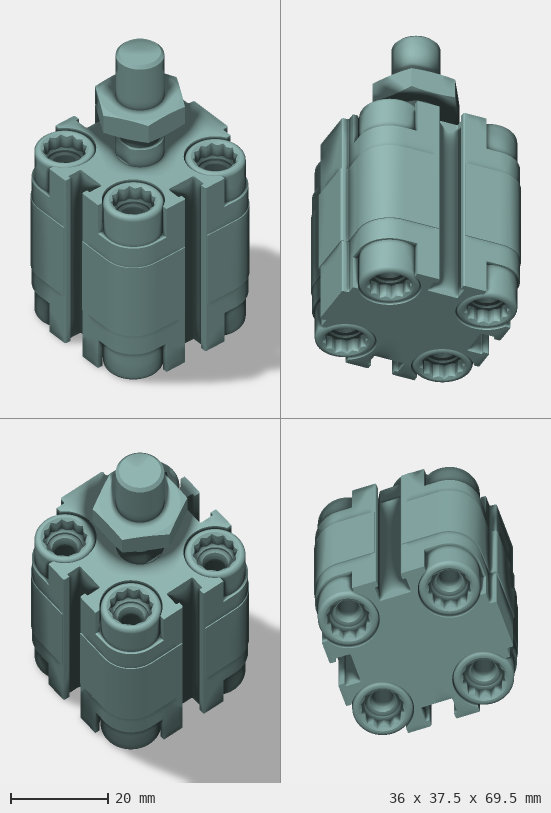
import cadquery as cq
import math

housing_height = 43.0
barrel_height = 18.0
pocket_depth = 7.5
overall_height = 69.5

barrel_width = 36.0
band_step = 0.2
rail_top = 19.5
rail_half = 5.8
rail_round = 0.55
rail_flare = 0.2
cap_rail_inset = 0.3
cap_rail_shift = 0.2

slot_mouth_half = 2.65
slot_inner_half = 3.4
slot_floor = 13.1
slot_lip = 1.6
slot_edge_round = 0.35
slot_inner_radius = 0.3

screw_offset = 11.0
head_diameter = 12.5
pocket_diameter = 13.0
pocket_wall = 7.8
head_fillet = 1.0
socket_mouth_diameter = 10.0
socket_flats = 8.1
socket_chamfer_depth = 0.6
socket_depth = 3.5
bore_diameter = 7.2
bore_depth = 4.0
hole_mouth_diameter = 5.3
hole_diameter = 4.1
hole_chamfer_depth = 1.4

rod_diameter = 10.0
rod_end = 47.55
rod_flats = 9.05
rod_flats_start = 43.2
neck_diameter = 8.5
neck_end = 49.5
thread_chamfer = 0.7
nut_flats = 17.0
nut_bottom = 52.9
nut_thickness = 5.15
nut_chamfer_diameter = 16.7
nut_chamfer_height = 0.35

barrel_bottom = (housing_height - barrel_height) / 2
barrel_half = barrel_width / 2
pocket_top = housing_height - pocket_depth
corners = [(sx * screw_offset, sy * screw_offset) for sx in (-1, 1) for sy in (-1, 1)]


def prism(outline, bottom, height):
    """Extrude an outline upward from the given height."""
    return outline.extrude(height).translate((0, 0, bottom))


def cylinder(diameter, bottom, height):
    return prism(cq.Workplane("XY").circle(diameter / 2), bottom, height)


def hexagon_prism(flats, height):
    """Hexagonal prism on the base plane with its flats facing -Y and +Y."""
    return cq.Workplane("XY").polygon(6, flats / math.cos(math.pi / 6)).extrude(height)


def half_pitch_turn(hexagon):
    """Turn a hexagon by half its pitch, so that its corners face -Y and +Y."""
    half_pitch = 360 / 6 / 2
    return hexagon.rotate((0, 0, 0), (0, 0, 1), half_pitch)


def rounded_block(half, bottom, height):
    """Square section with rounded corners concentric with the screws."""
    square = cq.Workplane("XY").rect(2 * half, 2 * half)
    return prism(square, bottom, height).edges("|Z").fillet(half - screw_offset)


def rear_rail(half_width, base_y, top_y, edge_round, bottom, height):
    """Rail on the rear face with rounded outer edges and a bevelled foot."""
    shoulder_y = top_y - edge_round
    outline = (
        cq.Workplane("XY")
        .moveTo(-half_width - rail_flare, 0)
        .lineTo(-half_width - rail_flare, base_y)
        .lineTo(-half_width, base_y + rail_flare)
        .lineTo(-half_width, shoulder_y)
        .tangentArcPoint((edge_round, edge_round))
        .lineTo(half_width - edge_round, top_y)
        .tangentArcPoint((edge_round, -edge_round))
        .lineTo(half_width, base_y + rail_flare)
        .lineTo(half_width + rail_flare, base_y)
        .lineTo(half_width + rail_flare, 0)
        .close()
    )
    return prism(outline, bottom, height)


def sensor_slot():
    """T-slot cutter that opens toward -Y and runs the full height."""
    lip_y = slot_lip - barrel_half
    depth = -slot_floor - lip_y
    groove = (
        cq.Workplane("XY")
        .center(0, lip_y + depth / 2)
        .rect(2 * slot_inner_half, depth)
        .extrude(housing_height)
        .edges("|Z")
        .fillet(slot_inner_radius)
    )
    cap_face = band_step - barrel_half
    inner_y = lip_y + depth / 2
    flared_half = slot_mouth_half + slot_edge_round
    mouth = (
        cq.Workplane("XY")
        .moveTo(-slot_mouth_half, inner_y)
        .lineTo(-slot_mouth_half, cap_face + slot_edge_round)
        .tangentArcPoint((-slot_edge_round, -slot_edge_round))
        .lineTo(-flared_half, -barrel_half)
        .lineTo(flared_half, -barrel_half)
        .lineTo(flared_half, cap_face)
        .radiusArc((slot_mouth_half, cap_face + slot_edge_round), slot_edge_round)
        .lineTo(slot_mouth_half, inner_y)
        .close()
        .extrude(housing_height)
    )
    return groove.union(mouth)


def corner_pocket(x, y):
    """Space around one upper screw head, open to both outer faces."""
    seat = cylinder(pocket_diameter, pocket_top, pocket_depth).translate((x, y, 0))
    reach = barrel_half
    middle = pocket_wall + reach / 2
    middle_x = math.copysign(middle, x)
    middle_y = math.copysign(middle, y)
    opening = cq.Workplane("XY").center(middle_x, middle_y).rect(reach, reach)
    return seat.union(prism(opening, pocket_top, pocket_depth))


def screw_head(x, y):
    """Rounded upper screw head, formed in one piece with the housing."""
    head = cylinder(head_diameter, pocket_top, pocket_depth).faces(">Z").edges().fillet(head_fillet)
    return head.translate((x, y, 0))


def screw_socket(x, y):
    """Twelve-point drive recess with a stepped bore, cut from the upper end."""
    top = housing_height
    mouth_r = socket_mouth_diameter / 2
    hexagon = hexagon_prism(socket_flats, socket_depth)
    star = hexagon.union(half_pitch_turn(hexagon)).translate((0, 0, top - socket_depth))
    half_profile = [
        (0, top),
        (mouth_r, top),
        (socket_flats / 2, top - socket_chamfer_depth),
        (bore_diameter / 2, top - socket_chamfer_depth),
        (bore_diameter / 2, top - bore_depth),
        (hole_mouth_diameter / 2, top - bore_depth),
        (hole_diameter / 2, top - bore_depth - hole_chamfer_depth),
        (hole_diameter / 2, housing_height / 2),
        (0, housing_height / 2),
    ]
    bore = cq.Workplane("XZ").polyline(half_profile).close().revolve(360, (0, 0, 0), (0, 1, 0))
    return star.union(bore).translate((x, y, 0))


def both_ends(shape):
    """The shape at the upper end and its mirror image at the lower end."""
    return shape, shape.mirror("XY", (0, 0, housing_height / 2))


def make_housing():
    """Cylinder housing: end caps, barrel, slots and the eight corner screws."""
    cap_half = barrel_half - band_step
    cap_rail = rear_rail(
        rail_half - cap_rail_inset, cap_half, rail_top - cap_rail_inset, rail_round - band_step,
        0, housing_height,
    ).translate((-cap_rail_shift, 0, 0))
    barrel_rail = rear_rail(rail_half, barrel_half, rail_top, rail_round, barrel_bottom, barrel_height)
    body = rounded_block(cap_half, 0, housing_height).union(cap_rail)
    body = body.union(rounded_block(barrel_half, barrel_bottom, barrel_height)).union(barrel_rail)
    for angle in (-90, 0, 90):
        body = body.cut(sensor_slot().rotate((0, 0, 0), (0, 0, 1), angle))
    for x, y in corners:
        for pocket in both_ends(corner_pocket(x, y)):
            body = body.cut(pocket)
        for head in both_ends(screw_head(x, y)):
            body = body.union(head)
        for socket in both_ends(screw_socket(x, y)):
            body = body.cut(socket)
    return body


def make_piston_rod():
    """Short round foot on the housing, then a length with two flats facing -Y and +Y."""
    flats_height = rod_end - rod_flats_start
    foot = cylinder(rod_diameter, housing_height, rod_flats_start - housing_height)
    slab = prism(cq.Workplane("XY").rect(rod_diameter, rod_flats), rod_flats_start, flats_height)
    shank = cylinder(rod_diameter, rod_flats_start, flats_height).intersect(slab)
    return foot.union(shank)


def make_stud():
    """Threaded stud with a narrower neck seated on the rod end."""
    neck = cylinder(neck_diameter, rod_end, neck_end - rod_end)
    thread = cylinder(rod_diameter, neck_end, overall_height - neck_end)
    return neck.union(thread.faces("<Z or >Z").edges().chamfer(thread_chamfer))


def make_nut():
    """Hexagon nut on the stud, bevelled at both faces, with corners toward -Y and +Y."""
    corner_r = nut_flats / 2 / math.cos(math.pi / 6)
    hexagon = half_pitch_turn(hexagon_prism(nut_flats, nut_thickness))
    envelope = cq.Workplane("XZ").polyline([
        (rod_diameter / 2, 0),
        (nut_chamfer_diameter / 2, 0),
        (corner_r, nut_chamfer_height),
        (corner_r, nut_thickness - nut_chamfer_height),
        (nut_chamfer_diameter / 2, nut_thickness),
        (rod_diameter / 2, nut_thickness),
    ]).close().revolve(360, (0, 0, 0), (0, 1, 0))
    return hexagon.intersect(envelope).translate((0, 0, nut_bottom))


housing = make_housing()
piston_rod = make_piston_rod()
stud = make_stud()
nut = make_nut()

result = cq.Compound.makeCompound([housing.val(), piston_rod.val(), stud.val(), nut.val()])